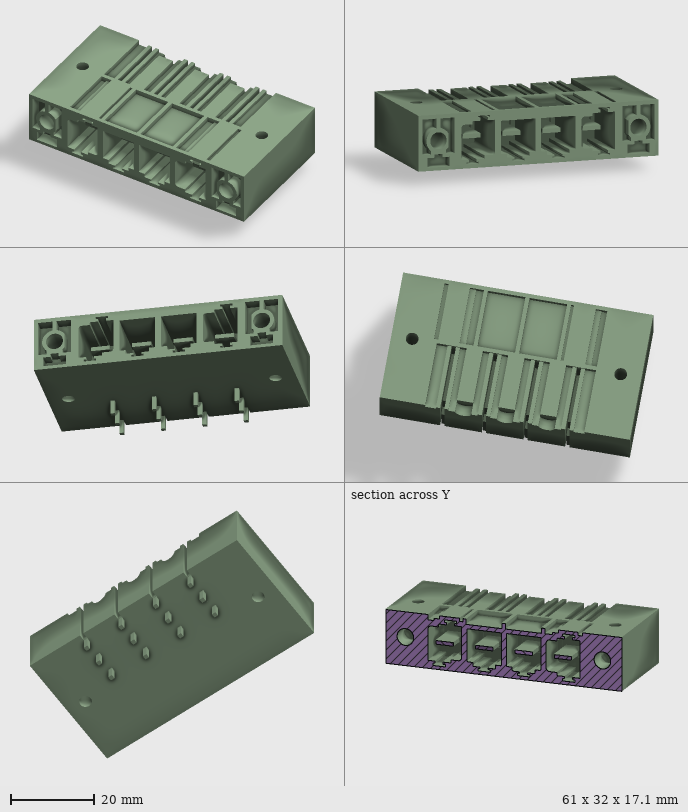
import cadquery as cq
import math

LENGTH = 60.95
DEPTH = 32.0
HEIGHT = 13.65
WALL = 1.0
FRONT_Y = -DEPTH

PITCH = LENGTH / 6
OUTER_POLE_X = 1.5 * PITCH
INNER_POLE_X = 0.5 * PITCH
POLE_XS = [-OUTER_POLE_X, -INNER_POLE_X, INNER_POLE_X, OUTER_POLE_X]
CONTACT_Z = HEIGHT / 2

DIVIDER_FRONT_Y = -16.8
CAVITY_DEPTH = DIVIDER_FRONT_Y - FRONT_Y
OUTER_HALF = 4.25
OUTER_TOP_Z = 11.45
OUTER_SHOULDER_Z = 10.7
OUTER_BOTTOM_Z = 2.15
OUTER_STEP_X = 1.5
OUTER_ROUND = 0.75
INNER_HALF = 4.4
INNER_TOP_Z = 11.1
INNER_BOTTOM_Z = 1.95
INNER_STEP_X = 2.85
INNER_ROUND = 0.2
SHOULDER_ROUND = 0.25
LEDGE_Z = 2.9
WINDOW_WIDTH = 6.45
WINDOW_HEIGHT = 4.25
WINDOW_DEPTH = 0.5

KEY_WIDTH = 3.05
KEY_NECK = 1.95
KEY_LIP = 0.5
KEY_OFFSET = 1.45

METAL = 1.05
BLADE_WIDTH = 4.65
BLADE_SETBACK = 5.0
LEG_PITCH = PITCH / 2
LEG_COUNT = 3
LEG_LENGTH = 3.5
LEG_DEPTH = 1.1
REAR_LEG_Y = -2.2
PLATE_REAR_Y = -1.6
PLATE_STEP_Y = -3.55
PLATE_FRONT_Y = -13.1
PLATE_LOW_TOP = 3.65
BLADE_BOTTOM = CONTACT_Z - METAL / 2
BLADE_TOP = CONTACT_Z + METAL / 2
PLATE_TOP = BLADE_TOP + METAL

GROOVE_LENGTH = 15.85
GROOVE_FLOOR_Z = HEIGHT - 1.35
LAND_WIDTH = 3.95
GROOVE_END_OFFSET = 4.15
RIB_WIDTH = 3.05
RIB_TOP_Z = HEIGHT - 0.4
TROUGH_LENGTH = 2.55

POCKET_FRONT_Y = FRONT_Y + WALL
INNER_POCKET_WIDTH = 9.15
INNER_POCKET_EDGE = INNER_POLE_X + INNER_POCKET_WIDTH / 2
OUTER_POCKET_EDGE = INNER_POCKET_EDGE + WALL
POCKET_DEEP = 1.35
POCKET_SHALLOW = 0.8
LEFT_DEEP_X = -19.45
LEFT_SHALLOW_X = -18.05
LEFT_SHALLOW_END_X = -16.65
LEFT_STRIP_X = -11.35
RIGHT_SHALLOW_X = 12.5
RIGHT_SHALLOW_END_X = 14.0
RIGHT_STRIP_X = 19.2
RIGHT_STRIP_END_X = 20.25

FLANGE_X = 2.5 * PITCH
BORE_Z = 7.25
BORE_RADIUS = 2.1
BORE_DEPTH = 12.2
SLEEVE_RADIUS = 3.05
SLEEVE_FLAT = 2.5
WEB_WIDTH = 1.0
FOOT_WIDTH = 3.9
FLANGE_POCKET_WIDTH = 8.15
FLANGE_POCKET_FLOOR = 3.95
FLANGE_POCKET_DEPTH = 3.05
NUT_SLOT_WIDTH = 5.65
NUT_SLOT_BOTTOM = 0.8
NUT_SLOT_TOP = 3.2
NUT_NECK_WIDTH = 2.1
MOUNT_HOLE_Y = -15.9
MOUNT_HOLE_RADIUS = 1.5


def box(x0, x1, y0, y1, z0, z1):
    """Block between two limits on each axis, given in either order."""
    size = (abs(x1 - x0), abs(y1 - y0), abs(z1 - z0))
    corner = (min(x0, x1), min(y0, y1), min(z0, z1))
    return cq.Workplane("XY").box(*size, centered=False).translate(corner)


def centred_box(x, width, y0, y1, z0, z1):
    return box(x - width / 2, x + width / 2, y0, y1, z0, z1)


def rod(x, y, z, radius, length):
    """Cylinder along Y, running toward the rear from the given Y."""
    return cq.Workplane("XZ", origin=(x, y, z)).circle(radius).extrude(-length)


def rounded_corner(before, corner, after):
    """Start, middle and end of the arc that rounds a right-angled corner (x, z, radius)."""
    x, z, radius = corner
    before_length = math.hypot(before[0] - x, before[1] - z)
    after_length = math.hypot(after[0] - x, after[1] - z)
    in_x = radius * (before[0] - x) / before_length
    in_z = radius * (before[1] - z) / before_length
    out_x = radius * (after[0] - x) / after_length
    out_z = radius * (after[1] - z) / after_length
    bulge = 1 - math.sqrt(0.5)
    middle = (x + bulge * (in_x + out_x), z + bulge * (in_z + out_z))
    return (x + in_x, z + in_z), middle, (x + out_x, z + out_z)


def cavity_prism(pole_x, corners):
    """Cavity from an X-Z outline of right-angled corners (x, z, radius); the first one is sharp."""
    outline = cq.Workplane("XZ", origin=(pole_x, FRONT_Y, 0)).moveTo(*corners[0][:2])
    for i in range(1, len(corners)):
        before = corners[i - 1]
        corner = corners[i]
        after = corners[(i + 1) % len(corners)]
        if corner[2] > 0:
            start, middle, end = rounded_corner(before, corner, after)
            outline = outline.lineTo(*start).threePointArc(middle, end)
        else:
            outline = outline.lineTo(*corner[:2])
    return outline.close().extrude(-CAVITY_DEPTH)


def key_groove(x, edge_z, limit_z):
    """T-shaped groove from a cavity edge to its limit just inside the housing face."""
    lip_z = limit_z + math.copysign(KEY_LIP, edge_z - limit_z)
    neck = centred_box(x, KEY_NECK, FRONT_Y, DIVIDER_FRONT_Y, edge_z, lip_z)
    head = centred_box(x, KEY_WIDTH, FRONT_Y, DIVIDER_FRONT_Y, lip_z, limit_z)
    return neck.union(head)


def outer_cavity(side):
    """First or last cavity: the two have the same top and mirrored bottoms."""
    pole_x = side * OUTER_POLE_X
    top = [
        (OUTER_STEP_X, OUTER_TOP_Z, 0),
        (-OUTER_STEP_X, OUTER_TOP_Z, SHOULDER_ROUND),
        (-OUTER_STEP_X, OUTER_SHOULDER_Z, 0),
        (-OUTER_HALF, OUTER_SHOULDER_Z, OUTER_ROUND),
    ]
    bottom = [
        (-OUTER_HALF, OUTER_BOTTOM_Z, 0),
        (OUTER_STEP_X, OUTER_BOTTOM_Z, 0),
        (OUTER_STEP_X, LEDGE_Z, 0),
        (OUTER_HALF, LEDGE_Z, OUTER_ROUND),
    ]
    if side > 0:
        bottom = [(-x, z, radius) for x, z, radius in reversed(bottom)]
    cavity = cavity_prism(pole_x, top + bottom + [(OUTER_HALF, OUTER_TOP_Z, 0)])
    top_key = key_groove(pole_x + KEY_OFFSET, OUTER_TOP_Z, HEIGHT - WALL)
    bottom_key = key_groove(pole_x + side * KEY_OFFSET, OUTER_BOTTOM_Z, WALL)
    return cavity.union(top_key).union(bottom_key)


def inner_cavity(side):
    pole_x = side * INNER_POLE_X
    corners = [
        (INNER_HALF, INNER_TOP_Z, 0),
        (-INNER_HALF, INNER_TOP_Z, 0),
        (-INNER_HALF, LEDGE_Z, INNER_ROUND),
        (-INNER_STEP_X, LEDGE_Z, 0),
        (-INNER_STEP_X, INNER_BOTTOM_Z, INNER_ROUND),
        (INNER_STEP_X, INNER_BOTTOM_Z, INNER_ROUND),
        (INNER_STEP_X, LEDGE_Z, 0),
        (INNER_HALF, LEDGE_Z, INNER_ROUND),
    ]
    return cavity_prism(pole_x, corners).union(key_groove(pole_x, INNER_BOTTOM_Z, WALL))


def contact_window(x):
    """Shallow recess in the back of a cavity, around the blade."""
    bottom = CONTACT_Z - WINDOW_HEIGHT / 2
    top = CONTACT_Z + WINDOW_HEIGHT / 2
    return centred_box(x, WINDOW_WIDTH, DIVIDER_FRONT_Y, DIVIDER_FRONT_Y + WINDOW_DEPTH, bottom, top)


def contact(x):
    """Upright plate with solder legs below and a flat blade toward the front."""
    plate = centred_box(x, METAL, PLATE_FRONT_Y, PLATE_STEP_Y, 0, PLATE_TOP)
    rear_step = centred_box(x, METAL, PLATE_STEP_Y, PLATE_REAR_Y, 0, PLATE_LOW_TOP)
    blade = centred_box(x, BLADE_WIDTH, FRONT_Y + BLADE_SETBACK, PLATE_FRONT_Y, BLADE_BOTTOM, BLADE_TOP)
    body = plate.union(rear_step).union(blade)
    for i in range(LEG_COUNT):
        leg_y = REAR_LEG_Y - i * LEG_PITCH
        body = body.union(
            centred_box(x, METAL, leg_y - LEG_DEPTH / 2, leg_y + LEG_DEPTH / 2, -LEG_LENGTH, 0)
        )
    return body


def rear_groove(x):
    """Groove around one pole: a raised rib, split by the slot that takes the contact plate."""
    left = x - PITCH / 2 + LAND_WIDTH / 2
    right = x + PITCH / 2 - LAND_WIDTH / 2
    if x == POLE_XS[0]:
        left = x - GROOVE_END_OFFSET
    if x == POLE_XS[-1]:
        right = x + GROOVE_END_OFFSET
    groove = box(left, right, -GROOVE_LENGTH, 0, GROOVE_FLOOR_Z, HEIGHT)
    rib = centred_box(x, RIB_WIDTH, -GROOVE_LENGTH, 0, GROOVE_FLOOR_Z, RIB_TOP_Z)
    slot = centred_box(x, METAL, -GROOVE_LENGTH, 0, BLADE_TOP, HEIGHT)
    plate_slot = centred_box(x, METAL, PLATE_FRONT_Y, 0, 0, HEIGHT)
    return groove.cut(rib).union(slot).union(plate_slot)


def trough(x):
    """Round-bottomed notch at the rear end of the land between two poles."""
    bottom = rod(x, -TROUGH_LENGTH, GROOVE_FLOOR_Z, LAND_WIDTH / 2, TROUGH_LENGTH)
    return bottom.union(centred_box(x, LAND_WIDTH, -TROUGH_LENGTH, 0, GROOVE_FLOOR_Z, HEIGHT))


def top_pocket(x0, x1, drop):
    return box(x0, x1, POCKET_FRONT_Y, DIVIDER_FRONT_Y, HEIGHT - drop, HEIGHT)


def top_pockets():
    return [
        top_pocket(LEFT_DEEP_X, LEFT_SHALLOW_X, POCKET_DEEP),
        top_pocket(LEFT_SHALLOW_X, LEFT_SHALLOW_END_X, POCKET_SHALLOW),
        top_pocket(LEFT_STRIP_X, -OUTER_POCKET_EDGE, POCKET_SHALLOW),
        top_pocket(-INNER_POCKET_EDGE, INNER_POCKET_WIDTH - INNER_POCKET_EDGE, POCKET_DEEP),
        top_pocket(INNER_POCKET_EDGE - INNER_POCKET_WIDTH, INNER_POCKET_EDGE, POCKET_DEEP),
        top_pocket(OUTER_POCKET_EDGE, RIGHT_SHALLOW_X, POCKET_DEEP),
        top_pocket(RIGHT_SHALLOW_X, RIGHT_SHALLOW_END_X, POCKET_SHALLOW),
        top_pocket(RIGHT_STRIP_X, RIGHT_STRIP_END_X, POCKET_SHALLOW),
    ]


def flange_recess(side):
    """Front pocket of a flange, leaving a bored sleeve held by a web above and a foot below."""
    x = side * FLANGE_X
    back_y = FRONT_Y + FLANGE_POCKET_DEPTH
    recess = centred_box(x, FLANGE_POCKET_WIDTH, FRONT_Y, back_y, FLANGE_POCKET_FLOOR, HEIGHT - WALL)
    sleeve = rod(x, FRONT_Y, BORE_Z, SLEEVE_RADIUS, FLANGE_POCKET_DEPTH)
    beyond_flat = box(x - side * SLEEVE_FLAT, x - side * 2 * SLEEVE_RADIUS, FRONT_Y, back_y, 0, HEIGHT)
    web = centred_box(x, WEB_WIDTH, FRONT_Y, back_y, BORE_Z, HEIGHT)
    foot = centred_box(x, FOOT_WIDTH, FRONT_Y, back_y, 0, BORE_Z)
    recess = recess.cut(sleeve.cut(beyond_flat)).cut(web).cut(foot)
    bore = rod(x, FRONT_Y, BORE_Z, BORE_RADIUS, BORE_DEPTH)
    nut_slot = centred_box(x, NUT_SLOT_WIDTH, FRONT_Y, back_y, NUT_SLOT_BOTTOM, NUT_SLOT_TOP)
    nut_neck = centred_box(x, NUT_NECK_WIDTH, FRONT_Y, back_y, NUT_SLOT_TOP, FLANGE_POCKET_FLOOR)
    return recess.union(bore).union(nut_slot).union(nut_neck)


def mount_hole(side):
    centre = (side * FLANGE_X, MOUNT_HOLE_Y, 0)
    return cq.Workplane("XY", origin=centre).circle(MOUNT_HOLE_RADIUS).extrude(HEIGHT)


def make_housing():
    body = centred_box(0, LENGTH, FRONT_Y, 0, 0, HEIGHT)
    for side in (-1, 1):
        body = body.cut(flange_recess(side)).cut(mount_hole(side))
        body = body.cut(outer_cavity(side)).cut(inner_cavity(side))
    for pocket in top_pockets():
        body = body.cut(pocket)
    for x in POLE_XS:
        body = body.cut(rear_groove(x)).cut(contact_window(x)).cut(contact(x))
    for x in (-PITCH, 0, PITCH):
        body = body.cut(trough(x))
    return body


housing = make_housing()
contacts = [contact(x) for x in POLE_XS]
result = cq.Compound.makeCompound([housing.val(), *[body.val() for body in contacts]])